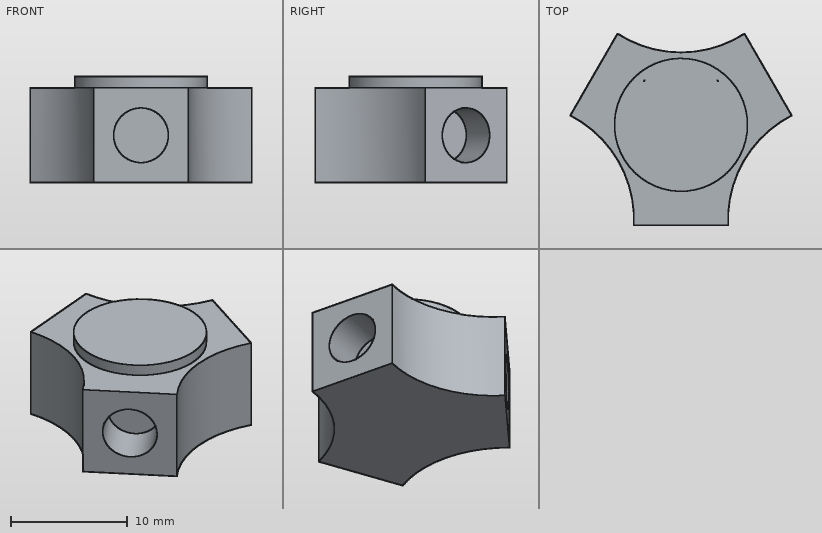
import cadquery as cq
import math

overall_width = 18.99
overall_height = 9.1
arm_count = 3
arm_width = 8.1
cap_height = 0.99
cap_diameter = 11.4
scallop_radius = 10.0
hole_diameter = 4.7
hole_depth = 4.0

body_height = overall_height - cap_height
arm_angles = [-90 + i * 360 / arm_count for i in range(arm_count)]

tilt = math.radians(30)
arm_reach = (overall_width / 2 - arm_width / 2 * math.sin(tilt)) / math.cos(tilt)


def polar_point(along, across, angle):
    """XY point at a distance along and to the left of a direction in degrees."""
    a = math.radians(angle)
    return (
        along * math.cos(a) - across * math.sin(a),
        along * math.sin(a) + across * math.cos(a),
    )


def make_body():
    """Three-armed prism with a concave scallop between neighbouring arms."""
    start = polar_point(arm_reach, -arm_width / 2, arm_angles[0])
    half_pitch = 180 / arm_count
    arc_end_x, arc_end_y = polar_point(arm_reach, arm_width / 2, -half_pitch)
    half_chord = abs(arc_end_y)
    sagitta = scallop_radius - math.sqrt(scallop_radius**2 - half_chord**2)

    outline = cq.Workplane("XY").moveTo(*start)
    for angle in arm_angles:
        scallop_middle = polar_point(arc_end_x - sagitta, 0, angle + half_pitch)
        next_arm = polar_point(arm_reach, -arm_width / 2, angle + 2 * half_pitch)
        outline = outline.lineTo(*polar_point(arm_reach, arm_width / 2, angle))
        outline = outline.threePointArc(scallop_middle, next_arm)
    return outline.close().extrude(body_height)


def make_cap():
    """Low round disc on top of the body."""
    return cq.Workplane("XY").workplane(offset=body_height).circle(cap_diameter / 2).extrude(cap_height)


def make_arm_hole(angle):
    """Blind flat-bottomed hole running inward from the middle of an arm's end face."""
    outward = cq.Vector(*polar_point(1, 0, angle), 0)
    mouth = cq.Vector(*polar_point(arm_reach, 0, angle), body_height / 2)
    return cq.Solid.makeCylinder(hole_diameter / 2, hole_depth, mouth, outward * -1)


result = make_body().union(make_cap())
for arm_angle in arm_angles:
    result = result.cut(make_arm_hole(arm_angle))